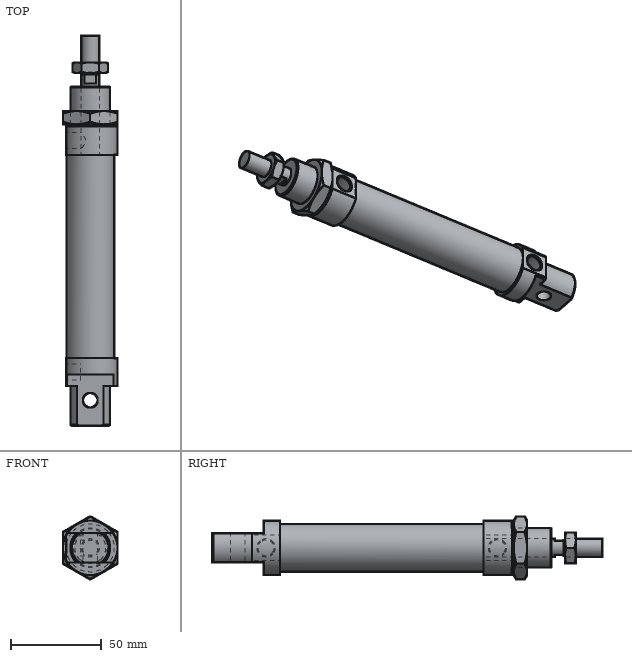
import cadquery as cq
import math

total_length = 215.0
tip_y = total_length / 2

rod_diameter = 10.0
neck_diameter = 8.8
neck_start = 20.0
neck_end = 21.5
wrench_flat_gap = 8.0
wrench_flat_end = 26.2
rod_end = 65.5

nose_diameter = 22.0
nose_start = 28.0
nose_chamfer = 0.6
front_cap_start = 49.9
front_cap_end = rod_end
rear_cap_start = 177.5
rear_cap_step = 186.6
rear_cap_end = 193.0
cap_diameter = 30.0
tube_diameter = 26.5
port_flat_x = -13.3
tongue_thickness = 16.1
tongue_chamfer = 0.9
pivot_hole_diameter = 8.0
pivot_hole_station = 200.8

port_diameter = 8.8
port_mouth_diameter = 10.0
port_chamfer = (port_mouth_diameter - port_diameter) / 2
front_port_station = 57.8
rear_port_station = 185.3
rear_port_depth = 8.0

rod_nut_start = 14.6
rod_nut_thickness = 6.0
rod_nut_flats = 17.0
mounting_nut_start = 41.5
mounting_nut_thickness = 7.3
mounting_nut_flats = 30.0
bevel_angle = math.radians(30)


def cylinder(diameter, start, end):
    """Solid cylinder on the Y axis between two stations."""
    base = cq.Workplane("XZ", origin=(0, tip_y - start, 0))
    return base.circle(diameter / 2).extrude(end - start)


def slab(thickness, start, end):
    """Wide plate centred on Z = 0 between two stations."""
    centre_y = tip_y - (start + end) / 2
    plate = cq.Workplane("XY").box(cap_diameter, end - start, thickness)
    return plate.translate((0, centre_y, 0))


def cap(start, end):
    """Round end cap with one flat on the -X side for its air port."""
    side = cap_diameter / 2 - port_flat_x
    keep = cq.Workplane("XY").box(side, end - start, cap_diameter)
    keep = keep.translate((port_flat_x + side / 2, tip_y - (start + end) / 2, 0))
    return cylinder(cap_diameter, start, end).intersect(keep)


def port(station, depth):
    """Cutter for an air port with a chamfered mouth, running in +X from the port flat."""
    mouth = cq.Workplane("YZ", origin=(port_flat_x, tip_y - station, 0))
    bore = mouth.circle(port_diameter / 2).extrude(depth)
    countersink = cq.Solid.makeCone(
        port_mouth_diameter / 2, port_diameter / 2, port_chamfer,
        pnt=cq.Vector(port_flat_x, tip_y - station, 0), dir=cq.Vector(1, 0, 0),
    )
    return bore.union(cq.Workplane(obj=countersink))


def make_tongue():
    """Rear tongue: a round bar with flats above and below and a pivot hole along Z."""
    bar = cylinder(nose_diameter, rear_cap_end, total_length)
    bar = bar.faces("<Y").chamfer(tongue_chamfer)
    tongue = bar.intersect(slab(tongue_thickness, rear_cap_end, total_length))
    hole = cq.Workplane("XY", origin=(0, tip_y - pivot_hole_station, -tongue_thickness))
    return tongue.cut(hole.circle(pivot_hole_diameter / 2).extrude(2 * tongue_thickness))


def make_rear_cap():
    """Rear cap, full height at the tube and thinned to the tongue behind it."""
    thinned = slab(tongue_thickness, rear_cap_step, rear_cap_end)
    return cap(rear_cap_start, rear_cap_step).union(cap(rear_cap_step, rear_cap_end).intersect(thinned))


def make_housing():
    nose = cylinder(nose_diameter, nose_start, front_cap_start).faces(">Y").chamfer(nose_chamfer)
    body = nose.union(cap(front_cap_start, front_cap_end))
    body = body.union(cylinder(tube_diameter, front_cap_end, rear_cap_start))
    body = body.union(make_rear_cap()).union(make_tongue())
    body = body.cut(cylinder(rod_diameter, nose_start, rod_end))
    front_port = port(front_port_station, -port_flat_x)
    return body.cut(front_port).cut(port(rear_port_station, rear_port_depth))


def make_rod():
    rod = cylinder(rod_diameter, 0, neck_start)
    rod = rod.union(cylinder(neck_diameter, neck_start, neck_end))
    rod = rod.union(cylinder(rod_diameter, neck_end, rod_end))
    flat_zone = cylinder(cap_diameter, neck_end, wrench_flat_end)
    return rod.cut(flat_zone.cut(slab(wrench_flat_gap, neck_end, wrench_flat_end)))


def make_nut(start, thickness, flats, bore, corner_angle):
    """Hexagon nut with both faces bevelled at the corners; one corner lies at corner_angle from X."""
    corner_radius = flats / 2 / math.cos(math.pi / 6)
    face_radius = flats / 2
    bevel = (corner_radius - face_radius) * math.tan(bevel_angle)
    hexagon = cq.Workplane("XZ").polygon(6, 2 * corner_radius).extrude(thickness)
    hexagon = hexagon.rotate((0, 0, 0), (0, 1, 0), corner_angle)
    envelope = (
        cq.Workplane("XY")
        .lineTo(face_radius, 0)
        .lineTo(corner_radius, -bevel)
        .lineTo(corner_radius, bevel - thickness)
        .lineTo(face_radius, -thickness)
        .lineTo(0, -thickness)
        .close()
        .revolve(360, (0, 0, 0), (0, 1, 0))
    )
    nut = hexagon.intersect(envelope).translate((0, tip_y - start, 0))
    return nut.cut(cylinder(bore, start, start + thickness))


housing = make_housing()
rod = make_rod()
rod_nut = make_nut(rod_nut_start, rod_nut_thickness, rod_nut_flats, rod_diameter, 0)
mounting_nut = make_nut(
    mounting_nut_start, mounting_nut_thickness, mounting_nut_flats, nose_diameter, 90
)

result = cq.Compound.makeCompound([housing.val(), rod.val(), rod_nut.val(), mounting_nut.val()])